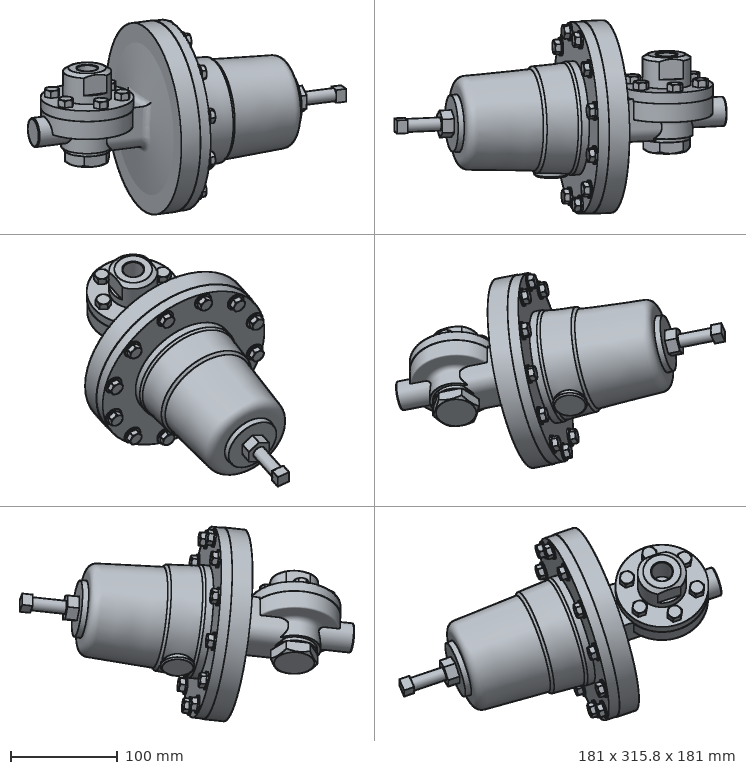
import cadquery as cq
import math


stem_end_y = 260.8
stem_head_y = 250.7
lock_nut_top_y = 218.5
collar_top_y = 207.0
bonnet_top_y = 201.5
bonnet_step_top_y = 130.0
bonnet_step_y = 127.2
skirt_bevel_y = 97.5
skirt_y = 94.7
cover_top_y = 87.5
case_top_y = 77.0
case_bottom_y = 57.5
pipe_end_y = -55.0

stem_width = 12.5
lock_nut_flats = 22.5

collar_top_radius = 26.5
collar_base_radius = 27.0
bonnet_top_radius = 44.2
bonnet_round = 9.0
bonnet_base_radius = 47.7
shoulder_top_radius = 50.2
shoulder_base_radius = 52.0
skirt_radius = 53.5
vent_radius = 16.0
vent_face_z = -53.7
vent_bevel = 1.5

cover_radius = 90.0
case_diameter = 181.0
case_radius = case_diameter / 2
cone_radius = 72.0
cone_height = 8.2
case_bolt_count = 12
case_bolt_circle = 81.0
case_bolt_flats = 12.3
case_bolt_height = 5.7
washer_radius = 8.5
washer_height = 1.5

neck_width = 44.8
neck_top_z = 19.5
neck_bottom_z = -23.5
neck_corner_radius = 13.5
neck_fillet = 5.7

cap_radius = 43.5
body_radius = 43.3
cap_top_z = 28.0
cap_bottom_z = 17.7
body_bottom_z = -0.3
body_round = 1.5
boss_radius = 24.5
boss_fillet = 5.5
boss_bottom_z = -19.5
gasket_radius = 21.8
plug_top_z = -23.5
plug_bottom_z = -34.7
plug_flats = 39.0
plug_chamfer_height = 2.5
plug_chamfer_width = 3.8
cap_bolt_count = 6
cap_bolt_circle = 33.0
cap_bolt_flats = 13.0
cap_bolt_height = 7.0
bolt_chamfer = 1.0

hub_radius = 22.7
hub_top_z = 56.8
hub_chamfer_height = 3.0
hub_chamfer_width = 5.0
hub_flats = 39.0
hub_flats_bottom_z = 36.5
bore_radius = 9.8
bore_chamfer = 0.5
pipe_radius = 14.0
pipe_chamfer = 1.0


def hexagon(workplane, flats):
    """Hexagon with two corners on the local X axis, sized across its flats."""
    return workplane.polygon(6, flats / math.cos(math.pi / 6))


def frustum_top(radius, bottom, top, inset, drop):
    """Vertical cylinder on the Z axis with a chamfered upper rim."""
    return (
        cq.Workplane("XZ")
        .moveTo(0, bottom)
        .lineTo(radius, bottom)
        .lineTo(radius, top - drop)
        .lineTo(radius - inset, top)
        .lineTo(0, top)
        .close()
        .revolve(360, (0, 0, 0), (0, 1, 0))
    )


def make_hex_bolt(flats, height):
    """Bolt head standing on Z = 0, corners on Y, with the upper corners chamfered."""
    head = hexagon(cq.Workplane("XY"), flats).extrude(height).rotate((0, 0, 0), (0, 0, 1), 90)
    corner_radius = flats / math.sqrt(3)
    return head.intersect(frustum_top(corner_radius, 0, height, corner_radius - flats / 2, bolt_chamfer))


def cylinder_y(radius, start_y, end_y):
    """Cylinder on the main axis."""
    return cq.Workplane("XZ", origin=(0, start_y, 0)).circle(radius).extrude(start_y - end_y)


def make_housing():
    """Bonnet, diaphragm case and shallow cone turned about the main axis."""
    profile = (
        cq.Workplane("XY")
        .moveTo(0, case_bottom_y - cone_height)
        .lineTo(cone_radius, case_bottom_y)
        .lineTo(case_radius, case_bottom_y)
        .lineTo(case_radius, case_top_y)
        .lineTo(cover_radius, case_top_y)
        .lineTo(cover_radius, cover_top_y)
        .lineTo(skirt_radius, cover_top_y)
        .lineTo(skirt_radius, skirt_y)
        .lineTo(shoulder_base_radius, skirt_bevel_y)
        .lineTo(shoulder_top_radius, bonnet_step_y)
        .lineTo(bonnet_base_radius, bonnet_step_top_y)
        .lineTo(bonnet_top_radius, bonnet_top_y - bonnet_round)
        .radiusArc((bonnet_top_radius - bonnet_round, bonnet_top_y), -bonnet_round)
        .lineTo(collar_base_radius, bonnet_top_y)
        .lineTo(collar_top_radius, collar_top_y)
        .lineTo(0, collar_top_y)
        .close()
    )
    return profile.revolve(360, (0, 0, 0), (0, 1, 0))


def make_neck():
    """Block from the inlet axis to the case, with rounded lower edges."""
    height = neck_top_z - neck_bottom_z
    return (
        cq.Workplane("XY")
        .box(neck_width, case_bottom_y, height, centered=(True, False, False))
        .translate((0, 0, neck_bottom_z))
        .edges("|Y and <Z")
        .fillet(neck_corner_radius)
    )


def join_neck(housing):
    """Add the neck to the case and fillet the seam on the cone."""
    joined = housing.union(make_neck())
    seam_y = case_bottom_y - cone_height
    seam = cq.selectors.BoxSelector(
        (-neck_width, seam_y, -neck_width), (neck_width, case_bottom_y - cone_height / 4, neck_width)
    )
    return joined.edges(seam).fillet(neck_fillet)


def make_vent():
    """Bevelled vent boss under the wide part of the bonnet."""
    vent_y = bonnet_step_y - vent_radius
    return (
        cq.Workplane("XY", origin=(0, vent_y, 0))
        .circle(vent_radius)
        .extrude(vent_face_z)
        .faces("<Z")
        .chamfer(vent_bevel)
    )


def make_stem():
    """Square-headed stem and its lock nut, corners of the nut on Z."""
    rod = cylinder_y(stem_width / 2, collar_top_y, stem_head_y)
    head = cq.Workplane("XZ", origin=(0, stem_end_y, 0)).rect(stem_width, stem_width)
    nut = hexagon(cq.Workplane("XZ", origin=(0, collar_top_y, 0)), lock_nut_flats)
    nut = nut.extrude(collar_top_y - lock_nut_top_y).rotate((0, 0, 0), (0, 1, 0), 90)
    return rod.union(head.extrude(stem_end_y - stem_head_y)).union(nut)


def make_case_bolts():
    """Washers and bolt heads spaced evenly around the case cover."""
    bolt = make_hex_bolt(case_bolt_flats, case_bolt_height).translate((0, 0, washer_height))
    bolt = bolt.union(cq.Workplane("XY").circle(washer_radius).extrude(washer_height))
    pitch = 360 / case_bolt_count
    first_angle = math.radians(90 + pitch / 2)
    first_x = case_bolt_circle * math.cos(first_angle)
    first_z = case_bolt_circle * math.sin(first_angle)
    bolt = bolt.rotate((0, 0, 0), (1, 0, 0), -90).translate((first_x, cover_top_y, first_z))
    bolts = cq.Workplane("XY")
    for index in range(case_bolt_count):
        bolts = bolts.add(bolt.rotate((0, 0, 0), (0, 1, 0), index * pitch))
    return bolts.combine()


def make_valve_body():
    """Round body with the filleted lower boss and gasket, turned about the inlet axis."""
    fillet_end_z = body_bottom_z - boss_fillet
    return (
        cq.Workplane("XZ")
        .moveTo(0, cap_top_z)
        .lineTo(cap_radius, cap_top_z)
        .lineTo(cap_radius, cap_bottom_z)
        .lineTo(body_radius, cap_bottom_z)
        .lineTo(body_radius, body_bottom_z + body_round)
        .radiusArc((body_radius - body_round, body_bottom_z), body_round)
        .lineTo(boss_radius + boss_fillet, body_bottom_z)
        .radiusArc((boss_radius, fillet_end_z), -boss_fillet)
        .lineTo(boss_radius, boss_bottom_z)
        .lineTo(gasket_radius, boss_bottom_z)
        .lineTo(gasket_radius, plug_top_z)
        .lineTo(0, plug_top_z)
        .close()
        .revolve(360, (0, 0, 0), (0, 1, 0))
    )


def make_plug():
    """Hexagonal bottom plug, corners on Y, with chamfered lower corners."""
    height = plug_top_z - plug_bottom_z
    plug = hexagon(cq.Workplane("XY"), plug_flats).extrude(height).rotate((0, 0, 0), (0, 0, 1), 90)
    plug = plug.intersect(
        frustum_top(plug_flats / math.sqrt(3), 0, height, plug_chamfer_width, plug_chamfer_height)
    )
    return plug.rotate((0, 0, 0), (1, 0, 0), 180).translate((0, 0, plug_top_z))


def make_hub():
    """Chamfered inlet hub with two wrench flats facing X."""
    hub = frustum_top(hub_radius, cap_top_z, hub_top_z, hub_chamfer_width, hub_chamfer_height)
    flats_height = hub_top_z - hub_flats_bottom_z
    for side in (-1, 1):
        offset = side * (hub_flats / 2 + hub_radius / 2)
        cutter = cq.Workplane("XY", origin=(offset, 0, hub_flats_bottom_z))
        hub = hub.cut(cutter.box(hub_radius, 2 * hub_radius, flats_height, centered=(True, True, False)))
    return hub


def make_cap_bolts():
    """Bolt heads on the valve cap."""
    bolt = make_hex_bolt(cap_bolt_flats, cap_bolt_height)
    bolts = cq.Workplane("XY")
    for index in range(cap_bolt_count):
        angle = 2 * math.pi * index / cap_bolt_count
        x = cap_bolt_circle * math.cos(angle)
        y = cap_bolt_circle * math.sin(angle)
        bolts = bolts.add(bolt.translate((x, y, cap_top_z)))
    return bolts.combine()


def make_pipe():
    """Side pipe on the main axis with a chamfered end."""
    return cylinder_y(pipe_radius, 0, pipe_end_y).faces("<Y").chamfer(pipe_chamfer)


result = join_neck(make_housing())
for feature in (
    make_vent(),
    make_stem(),
    make_case_bolts(),
    make_valve_body(),
    make_plug(),
    make_hub(),
    make_cap_bolts(),
    make_pipe(),
):
    result = result.union(feature)

bore = cq.Workplane("XY", origin=(0, 0, cap_top_z)).circle(bore_radius).extrude(hub_top_z - cap_top_z)
mouth_radius = bore_radius + bore_chamfer
mouth = cq.Solid.makeCone(
    mouth_radius,
    bore_radius,
    bore_chamfer,
    pnt=cq.Vector(0, 0, hub_top_z),
    dir=cq.Vector(0, 0, -1),
)
result = result.cut(bore).cut(cq.Workplane(mouth))